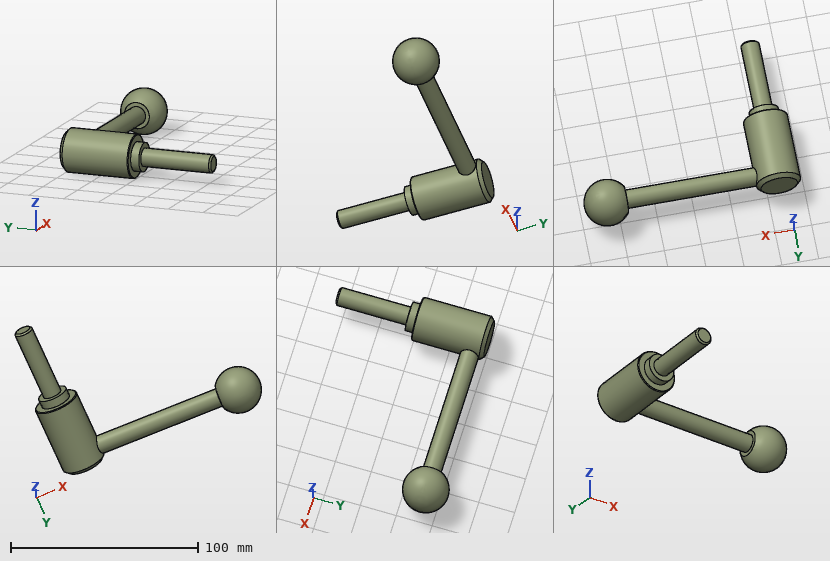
import cadquery as cq

total_length = 116.5
hub_diameter = 24.0
hub_back_y = 7.5
hub_length = 39.8
hub_back_chamfer = 2.1
hub_front_chamfer = 0.5
collar_diameter = 16.0
collar_length = 4.7
stud_diameter = 10.0
stud_length = 39.8
stud_chamfer = 0.9
lever_diameter = 10.0
ball_diameter = 25.0
ball_flat_offset = 10.3

ball_x = total_length - hub_diameter / 2 - ball_diameter / 2
ball_flat_x = ball_x - ball_flat_offset
hub_front_y = hub_back_y - hub_length
collar_front_y = hub_front_y - collar_length


def cylinder_toward_front(diameter, back_y, length):
    """Cylinder on the hub axis, running from back_y toward -Y."""
    return cq.Workplane("XZ", origin=(0, back_y, 0)).circle(diameter / 2).extrude(length)


def make_hub():
    hub = cylinder_toward_front(hub_diameter, hub_back_y, hub_length)
    hub = hub.faces(">Y").chamfer(hub_back_chamfer)
    return hub.faces("<Y").chamfer(hub_front_chamfer)


def make_stud():
    stud = cylinder_toward_front(stud_diameter, collar_front_y, stud_length)
    return stud.faces("<Y").chamfer(stud_chamfer)


def make_lever():
    return cq.Workplane("YZ").circle(lever_diameter / 2).extrude(ball_x)


def make_ball():
    """Sphere cut flat on the side facing the hub."""
    ball = cq.Workplane("XY").sphere(ball_diameter / 2).translate((ball_x, 0, 0))
    keep = (
        cq.Workplane("YZ", origin=(ball_flat_x, 0, 0))
        .rect(ball_diameter, ball_diameter)
        .extrude(ball_flat_offset + ball_diameter / 2)
    )
    return ball.intersect(keep)


collar = cylinder_toward_front(collar_diameter, hub_front_y, collar_length)
result = make_hub().union(collar).union(make_stud()).union(make_lever()).union(make_ball())